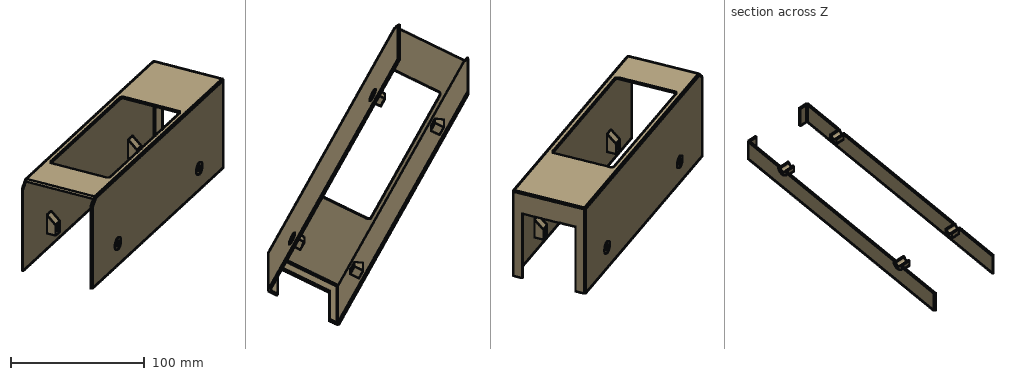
import cadquery as cq

width = 60.0
length = 211
height = 76
wall = 1.5
edge_chamfer = 1.0
corner_cut = 6.0

rear_opening_width = 43.9
rear_opening_height = 57.4

window_width = 50.5
window_front = 35.9
window_length = 115.2
window_corner_radius = 2.1

tab_length = 7.0
tab_reach = 8.9
tab_bottom = 13.5
tab_face_top = 22.5
tab_root_top = 29.3
screw_height = 18.4
front_screw_y = 41.4
rear_screw_y = length - 39.5
hole_diameter = 4.5
counterbore_diameter = 10.0
counterbore_depth = 0.2


def make_block(block_width, y_start, y_end, block_height):
    """Block centred on X, standing on Z = 0."""
    return cq.Workplane("XY").box(
        block_width, y_end - y_start, block_height, centered=(True, False, False)
    ).translate((0, y_start, 0))


def make_shell():
    """Thin walled cover with a cut front corner and chamfered outer edges."""
    profile = [
        (0, 0),
        (length, 0),
        (length, height),
        (corner_cut, height),
        (0, height - corner_cut),
    ]
    body = cq.Workplane("YZ").polyline(profile).close().extrude(width / 2, both=True)
    side_edges = body.faces("<X or >X").edges("not <Z")
    rear_roof_edge = body.edges(">Y and >Z")
    body = body.newObject(side_edges.vals() + rear_roof_edge.vals()).chamfer(edge_chamfer)
    cavity = make_block(width - 2 * wall, -wall, length - wall, height - wall)
    cavity = cavity.faces(">Y").edges("not <Z").chamfer(edge_chamfer)
    return body.cut(cavity)


def make_rear_opening():
    return make_block(rear_opening_width, length - 2 * wall, length + wall, rear_opening_height)


def make_window():
    window = make_block(window_width, window_front, window_front + window_length, 2 * wall)
    window = window.edges("|Z").fillet(window_corner_radius)
    return window.translate((0, 0, height - 1.5 * wall))


def make_tab(screw_y):
    """Tab with a sloping top on the -X wall, rooted halfway into the wall."""
    outer_x = -width / 2
    root_x = outer_x + wall / 2
    wall_x = outer_x + wall
    face_x = outer_x + tab_reach
    profile = [
        (root_x, tab_bottom),
        (face_x, tab_bottom),
        (face_x, tab_face_top),
        (wall_x, tab_root_top),
        (root_x, tab_root_top),
    ]
    tab = cq.Workplane("XZ").polyline(profile).close().extrude(tab_length / 2, both=True)
    return tab.translate((0, screw_y, 0))


def make_screw_hole(screw_y):
    """Counterbored hole through the -X wall and its tab."""
    start = cq.Workplane("YZ", origin=(-width / 2, screw_y, screw_height))
    hole = start.circle(hole_diameter / 2).extrude(tab_reach)
    counterbore = start.circle(counterbore_diameter / 2).extrude(counterbore_depth)
    return hole.union(counterbore)


result = make_shell().cut(make_rear_opening()).cut(make_window())
for screw_y in (front_screw_y, rear_screw_y):
    tab = make_tab(screw_y)
    screw_hole = make_screw_hole(screw_y)
    result = result.union(tab).union(tab.mirror("YZ"))
    result = result.cut(screw_hole).cut(screw_hole.mirror("YZ"))